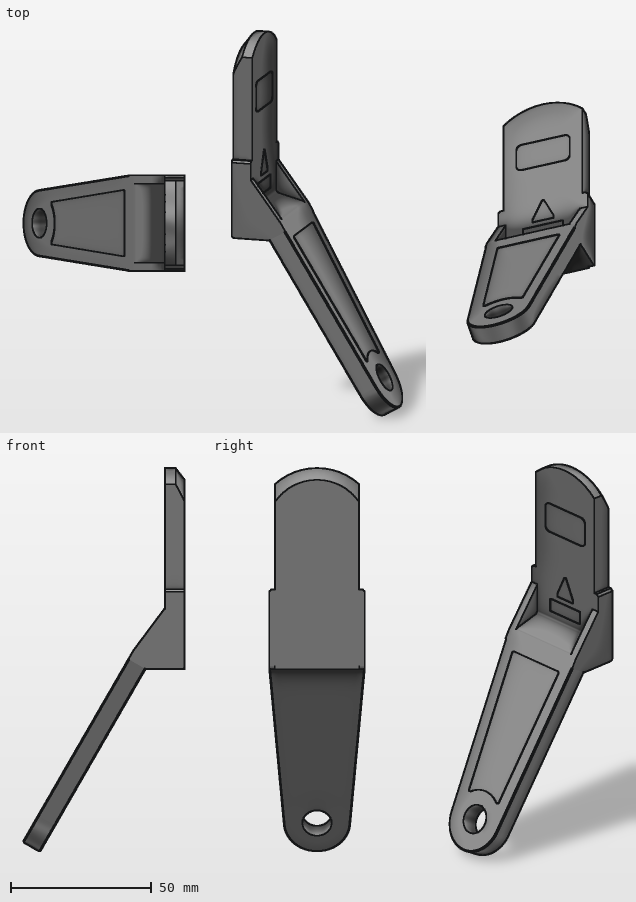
import cadquery as cq
import math


blade_thickness = 7.1
blade_half_width = 15.0
blade_top = 71.5
blade_tip_radius = 22.3
bevel_depth = 3.3
bevel_reach = 4.2

hub_half_width = 17.0
shoulder_height = 28.3
shoulder_chamfer = 0.8
gusset_top = 21.7
heel_round = 1.1

channel_half_width = 14.0
channel_root_height = 10.4
channel_slope = 14.4
channel_root_radius = 1.6
channel_lip_run = 1.4

knee_x = -18.3
knee_z = 6.7
arm_angle = 60
arm_thickness = 7.1
taper_start = 3.5
arm_end_radius = 11.9
eye_distance = 66.8
eye_radius = 5.2
arm_edge_chamfer = 0.4

panel_depth = 0.3
arm_panel_start = 6.5
arm_panel_half_width = 11.9
arm_panel_end = 60.6
arm_panel_end_half_width = 7.4
arm_panel_arc_radius = 10.6
arm_panel_corner_radius = 0.7
label_width = 20.3
label_bottom = 44.5
label_top = 55.7
label_corner_radius = 2.0
bar_width = 15.3
bar_bottom = 13.4
bar_top = 18.3
bar_corner_radius = 0.4
arrow_half_width = 4.0
arrow_bottom = 20.3
arrow_side_top = 21.5
arrow_top = 29.8
arrow_tip_radius = 0.5

slope_cos = math.cos(math.radians(arm_angle))
slope_sin = math.sin(math.radians(arm_angle))

arm_plane = cq.Plane(
    origin=(knee_x, 0, knee_z),
    xDir=(-slope_cos, 0, -slope_sin),
    normal=(-slope_sin, 0, slope_cos),
)
blade_plane = cq.Plane(origin=(-blade_thickness, 0, 0), xDir=(0, -1, 0), normal=(-1, 0, 0))


def arm_section_point(along, depth):
    """XZ point at a distance down the arm and a depth below its front face."""
    return (
        knee_x - along * slope_cos + depth * slope_sin,
        knee_z - along * slope_sin - depth * slope_cos,
    )


def make_blade():
    tip_center = blade_top - blade_tip_radius
    tip = (
        cq.Workplane("XZ")
        .polyline([
            (-blade_thickness, tip_center),
            (-blade_thickness, blade_top),
            (-bevel_depth, blade_top),
            (0, blade_top - bevel_reach),
            (0, tip_center),
        ])
        .close()
        .revolve(360, (0, tip_center), (1, tip_center))
    )
    strip = cq.Workplane(blade_plane).rect(2 * blade_half_width, 2 * blade_top).extrude(-blade_thickness)
    shank = (
        cq.Workplane(blade_plane)
        .rect(2 * blade_half_width, tip_center, centered=(True, False))
        .extrude(-blade_thickness)
    )
    return tip.intersect(strip).union(shank)


def make_hub():
    arm_back_x, arm_back_z = arm_section_point(taper_start, arm_thickness)
    underside_x = arm_back_x - arm_back_z * slope_cos / slope_sin
    hub = (
        cq.Workplane("XZ")
        .moveTo(0, 0)
        .lineTo(underside_x, 0)
        .lineTo(arm_back_x, arm_back_z)
        .lineTo(*arm_section_point(taper_start, 0))
        .lineTo(knee_x, knee_z)
        .lineTo(-blade_thickness, gusset_top)
        .lineTo(-blade_thickness, shoulder_height)
        .lineTo(0, shoulder_height)
        .close()
        .extrude(hub_half_width, both=True)
    )
    hub = hub.faces(">Z").edges("|X").chamfer(shoulder_chamfer)
    return hub.edges("|Y and >X and <Z").fillet(heel_round)


def make_channel():
    slope = math.tan(math.radians(channel_slope))
    lip_x = knee_x + channel_lip_run
    lip_z = channel_root_height - slope * (-blade_thickness - lip_x)
    channel = (
        cq.Workplane("XZ")
        .moveTo(-blade_thickness, gusset_top)
        .lineTo(-blade_thickness, channel_root_height)
        .lineTo(lip_x, lip_z)
        .tangentArcPoint((knee_x, knee_z), relative=False)
        .lineTo(knee_x, gusset_top)
        .close()
        .extrude(channel_half_width, both=True)
    )
    root = cq.selectors.NearestToPointSelector((-blade_thickness, 0, channel_root_height))
    return channel.edges(root).fillet(channel_root_radius)


def make_arm():
    run = eye_distance - taper_start
    center_distance = math.hypot(run, hub_half_width)
    taper = math.atan2(hub_half_width, run) - math.asin(arm_end_radius / center_distance)
    tangent_x = eye_distance + arm_end_radius * math.sin(taper)
    tangent_y = arm_end_radius * math.cos(taper)
    arm = (
        cq.Workplane(arm_plane)
        .moveTo(0, -hub_half_width)
        .lineTo(taper_start, -hub_half_width)
        .lineTo(tangent_x, -tangent_y)
        .threePointArc((eye_distance + arm_end_radius, 0), (tangent_x, tangent_y))
        .lineTo(taper_start, hub_half_width)
        .lineTo(0, hub_half_width)
        .close()
        .extrude(-arm_thickness)
    )
    for is_front in (True, False):
        face_selector = cq.selectors.DirectionMinMaxSelector(arm_plane.zDir, is_front)
        arm = arm.faces(face_selector).edges("not |Y").chamfer(arm_edge_chamfer)
    return arm


def make_eye():
    return cq.Workplane(arm_plane).center(eye_distance, 0).circle(eye_radius).extrude(-arm_thickness)


def make_arm_panel():
    outline = (
        cq.Workplane(arm_plane)
        .polyline([
            (arm_panel_start, -arm_panel_half_width),
            (arm_panel_end, -arm_panel_end_half_width),
            (arm_panel_end, arm_panel_end_half_width),
            (arm_panel_start, arm_panel_half_width),
        ])
        .close()
        .extrude(-panel_depth)
    )
    eye_border = (
        cq.Workplane(arm_plane)
        .center(eye_distance, 0)
        .circle(arm_panel_arc_radius)
        .extrude(-panel_depth)
    )
    corners = cq.selectors.ParallelDirSelector(arm_plane.zDir)
    return outline.cut(eye_border).edges(corners).fillet(arm_panel_corner_radius)


def make_blade_panel(width, bottom, top, corner_radius):
    return (
        cq.Workplane(blade_plane)
        .center(0, (bottom + top) / 2)
        .rect(width, top - bottom)
        .extrude(-panel_depth)
        .edges("|X")
        .fillet(corner_radius)
    )


def make_arrow():
    return (
        cq.Workplane(blade_plane)
        .polyline([
            (-arrow_half_width, arrow_bottom),
            (arrow_half_width, arrow_bottom),
            (arrow_half_width, arrow_side_top),
            (0, arrow_top),
            (-arrow_half_width, arrow_side_top),
        ])
        .close()
        .extrude(-panel_depth)
        .edges("|X and >Z")
        .fillet(arrow_tip_radius)
    )


result = (
    make_hub()
    .union(make_blade())
    .union(make_arm())
    .cut(make_channel())
    .cut(make_eye())
    .cut(make_arm_panel())
    .cut(make_blade_panel(label_width, label_bottom, label_top, label_corner_radius))
    .cut(make_blade_panel(bar_width, bar_bottom, bar_top, bar_corner_radius))
    .cut(make_arrow())
)